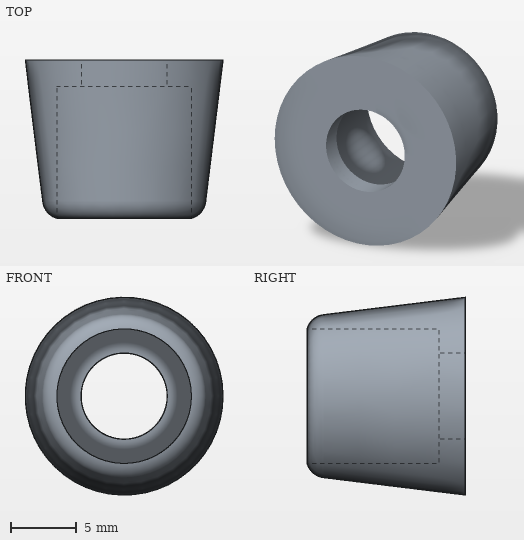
import cadquery as cq

length = 12.0
wide_radius = 7.5
shoulder_radius = 6.18
rim_length = 1.26
bore_radius = 5.1
hole_radius = 3.25
floor_thickness = 2.0

bore_depth = length - floor_thickness

half_section = (
    cq.Workplane("XY")
    .moveTo(hole_radius, length)
    .lineTo(wide_radius, length)
    .lineTo(shoulder_radius, rim_length)
    .tangentArcPoint((bore_radius, 0), relative=False)
    .lineTo(bore_radius, bore_depth)
    .lineTo(hole_radius, bore_depth)
    .close()
)

result = half_section.revolve(360, (0, 0, 0), (0, 1, 0))